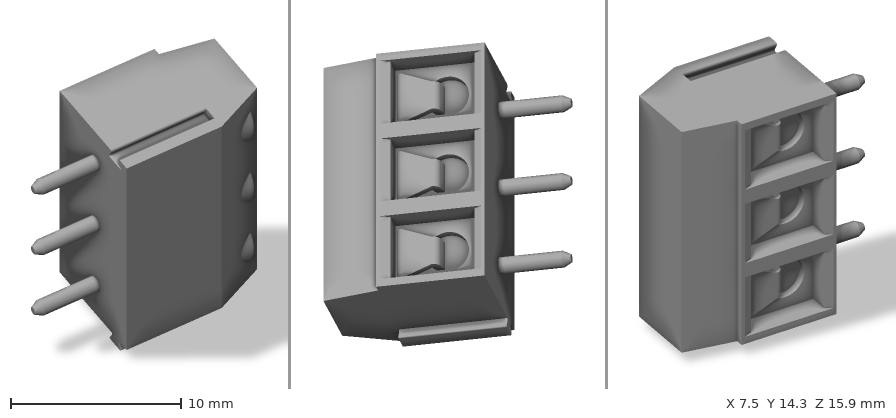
import cadquery as cq
import math


POLES = 3
PITCH = 5.08
BODY_LENGTH = POLES * PITCH
WIRE_FACE_X = -4.0
BODY_WIDTH = 7.5
BACK_FACE_X = WIRE_FACE_X + BODY_WIDTH
BODY_HEIGHT = 10.0
SHOULDER_Y = 6.55
SHOULDER_STEP = 0.5
WIRE_SIDE_TOP_INSET = 1.12
BACK_SIDE_TOP_INSET = 1.62
TOP_LEFT_X = WIRE_FACE_X + WIRE_SIDE_TOP_INSET
TOP_RIGHT_X = BACK_FACE_X - BACK_SIDE_TOP_INSET

PIN_RADIUS = 0.5
PIN_LENGTH = 4.3
PIN_TIP_LENGTH = 0.5
PIN_TIP_RADIUS = 0.25

POCKET_DEPTH = 1.5
POCKET_WIDTH = 4.1
POCKET_LOW_Y = 0.2
POCKET_HIGH_Y = 6.32
FUNNEL_DEPTH = 0.26
FUNNEL_HIGH_INSET = 0.58
FUNNEL_LOW_INSET = 0.48
POCKET_FLOOR_X = WIRE_FACE_X + POCKET_DEPTH
WIRE_HOLE_Y = 2.6
WIRE_HOLE_RADIUS = 1.3
WIRE_HOLE_DEPTH = 0.5
WIRE_HOLE_END_X = POCKET_FLOOR_X + WIRE_HOLE_DEPTH

LEAF_HEIGHT = 0.44
LEAF_FACE_X = POCKET_FLOOR_X - LEAF_HEIGHT
LEAF_HIGH_Y = 5.63
LEAF_BEND_Y = 3.44
LEAF_BEND_ANGLE = math.radians(77)
LEAF_WIDE = 3.3
LEAF_NARROW = 1.78
LEAF_STRAIGHT_LENGTH = 0.25
LEAF_TAPER_Y = LEAF_HIGH_Y - LEAF_STRAIGHT_LENGTH

SCREW_RADIUS = 1.9
SCREW_X = 0.72
SCREW_TOP_Y = 9.47
SCREW_EDGE_FILLET = 0.3

DOVETAIL_X = 2.2
DOVETAIL_HEIGHT = 0.69
DOVETAIL_NECK_HEIGHT = 0.17
DOVETAIL_CORNER_HEIGHT = 0.1
DOVETAIL_CORNER_FILLET = 0.08
TAB_NECK = 0.72
TAB_WIDTH = 1.24
GROOVE_NECK = 0.86
GROOVE_WIDTH = 1.36
GROOVE_RIM_FILLET = 0.12

POLE_Z = [(i - (POLES - 1) / 2) * PITCH for i in range(POLES)]
DIAGONAL = math.sqrt(0.5)


def make_housing():
    return (
        cq.Workplane("XY")
        .polyline([
            (WIRE_FACE_X, 0),
            (BACK_FACE_X, 0),
            (BACK_FACE_X, SHOULDER_Y),
            (TOP_RIGHT_X, BODY_HEIGHT),
            (TOP_LEFT_X, BODY_HEIGHT),
            (WIRE_FACE_X + SHOULDER_STEP, SHOULDER_Y),
            (WIRE_FACE_X, SHOULDER_Y),
        ])
        .close()
        .extrude(BODY_LENGTH / 2, both=True)
    )


def make_dovetail(neck_width, full_width):
    """Dovetail bar whose neck starts at Z = 0 and widens towards -Z."""
    neck = neck_width / 2
    half = full_width / 2
    bar = (
        cq.Workplane("XZ")
        .polyline([
            (-neck, 0),
            (-neck, -DOVETAIL_NECK_HEIGHT),
            (-half, -DOVETAIL_HEIGHT + DOVETAIL_CORNER_HEIGHT),
            (-half, -DOVETAIL_HEIGHT),
            (half, -DOVETAIL_HEIGHT),
            (half, -DOVETAIL_HEIGHT + DOVETAIL_CORNER_HEIGHT),
            (neck, -DOVETAIL_NECK_HEIGHT),
            (neck, 0),
        ])
        .close()
        .extrude(-SHOULDER_Y)
    )
    return bar.faces("<Z").edges("|Y").fillet(DOVETAIL_CORNER_FILLET).translate((DOVETAIL_X, 0, 0))


def make_pocket():
    """Wire pocket with funnel mouth and round wire hole, centred on Z = 0."""
    low_y = POCKET_LOW_Y + FUNNEL_LOW_INSET
    high_y = POCKET_HIGH_Y - FUNNEL_HIGH_INSET
    funnel_x = WIRE_FACE_X + FUNNEL_DEPTH
    pocket = (
        cq.Workplane("XY")
        .polyline([
            (WIRE_FACE_X, POCKET_LOW_Y),
            (funnel_x, low_y),
            (POCKET_FLOOR_X, low_y),
            (POCKET_FLOOR_X, high_y),
            (funnel_x, high_y),
            (WIRE_FACE_X, POCKET_HIGH_Y),
        ])
        .close()
        .extrude(POCKET_WIDTH / 2, both=True)
    )
    hole = (
        cq.Workplane("YZ", origin=(POCKET_FLOOR_X, WIRE_HOLE_Y, 0))
        .circle(WIRE_HOLE_RADIUS)
        .extrude(WIRE_HOLE_DEPTH)
    )
    return pocket.union(hole)


def point_on_bend(angle):
    """Point on the bend that turns the leaf down into the wire hole, in the XY plane."""
    return (
        LEAF_FACE_X + LEAF_HEIGHT * (1 - math.cos(angle)),
        LEAF_BEND_Y - LEAF_HEIGHT * math.sin(angle),
    )


def make_leaf():
    """Clamp leaf, rounded at its high end and bent into the wire hole at its narrow low end."""
    roll = LEAF_HEIGHT
    bend_end_x, bend_end_y = point_on_bend(LEAF_BEND_ANGLE)
    low_y = bend_end_y - (WIRE_HOLE_END_X - bend_end_x) / math.tan(LEAF_BEND_ANGLE)
    side = (
        cq.Workplane("XY")
        .moveTo(WIRE_HOLE_END_X, LEAF_HIGH_Y)
        .lineTo(POCKET_FLOOR_X, LEAF_HIGH_Y)
        .threePointArc(
            (POCKET_FLOOR_X - roll * DIAGONAL, LEAF_HIGH_Y - roll + roll * DIAGONAL),
            (LEAF_FACE_X, LEAF_HIGH_Y - roll),
        )
        .lineTo(LEAF_FACE_X, LEAF_BEND_Y)
        .threePointArc(
            point_on_bend(LEAF_BEND_ANGLE / 2),
            (bend_end_x, bend_end_y),
        )
        .lineTo(WIRE_HOLE_END_X, low_y)
        .close()
        .extrude(LEAF_WIDE / 2, both=True)
    )
    wide = LEAF_WIDE / 2
    narrow = LEAF_NARROW / 2
    outline = (
        cq.Workplane("YZ", origin=(LEAF_FACE_X, 0, 0))
        .polyline([
            (LEAF_HIGH_Y, -wide),
            (LEAF_HIGH_Y, wide),
            (LEAF_TAPER_Y, wide),
            (LEAF_BEND_Y, narrow),
            (low_y, narrow),
            (low_y, -narrow),
            (LEAF_BEND_Y, -narrow),
            (LEAF_TAPER_Y, -wide),
        ])
        .close()
        .extrude(WIRE_HOLE_END_X - LEAF_FACE_X)
    )
    return side.intersect(outline)


def make_screw():
    """Screw head whose rounded rim stands out of the sloped face."""
    return (
        cq.Workplane("XZ", origin=(SCREW_X, SHOULDER_Y, 0))
        .circle(SCREW_RADIUS)
        .extrude(SHOULDER_Y - SCREW_TOP_Y)
        .faces(">Y")
        .edges()
        .fillet(SCREW_EDGE_FILLET)
    )


def make_pin():
    return (
        cq.Workplane("XY")
        .polyline([
            (0, 0),
            (PIN_RADIUS, 0),
            (PIN_RADIUS, PIN_TIP_LENGTH - PIN_LENGTH),
            (PIN_TIP_RADIUS, -PIN_LENGTH),
            (0, -PIN_LENGTH),
        ])
        .close()
        .revolve(360, (0, 0, 0), (0, 1, 0))
    )


def cut_groove(housing):
    """Dovetail groove in the +Z end, with its two long rim edges rounded."""
    top_z = BODY_LENGTH / 2
    reach = GROOVE_WIDTH / 2
    around_rim = cq.selectors.BoxSelector(
        (DOVETAIL_X - reach, 0, top_z - reach),
        (DOVETAIL_X + reach, SHOULDER_Y, top_z + reach),
    )
    grooved = housing.cut(make_dovetail(GROOVE_NECK, GROOVE_WIDTH).translate((0, 0, top_z)))
    return grooved.faces(">Z").edges("|Y").edges(around_rim).fillet(GROOVE_RIM_FILLET)


result = cut_groove(make_housing())
result = result.union(make_dovetail(TAB_NECK, TAB_WIDTH).translate((0, 0, -BODY_LENGTH / 2)))

pocket = make_pocket()
leaf = make_leaf()
screw = make_screw()
pin = make_pin()
for z in POLE_Z:
    result = result.cut(pocket.translate((0, 0, z)))
    for detail in (leaf, screw, pin):
        result = result.union(detail.translate((0, 0, z)))